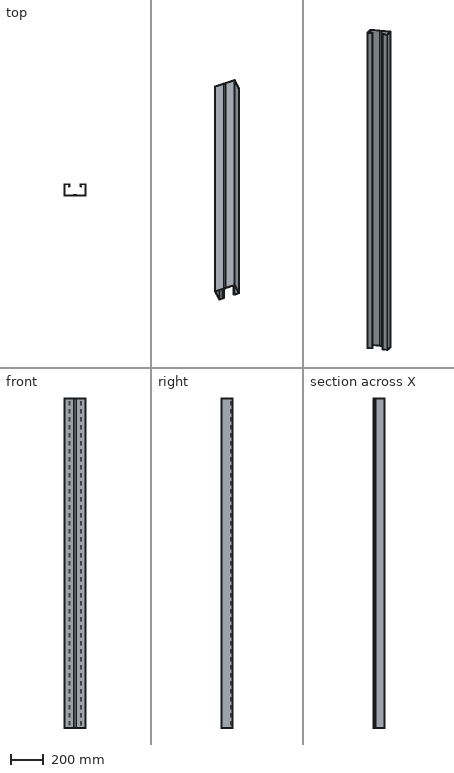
import cadquery as cq

WIDTH = 130.0
DEPTH = 70.0
LENGTH = 2000.0
WALL = 2.5

OPENING = 61.0
LIP_RADIUS = 7.5

RIB_WIDTH = 12.4
RIB_HEIGHT = 2.0
RIB_CORNER_RADIUS = 1.0

BACK = -DEPTH / 2
FRONT = DEPTH / 2
SIDE = WIDTH / 2
WEB_TOP = BACK + WALL


def half_channel():
    """The +X half of the channel: web, side wall, flange and the lip rolled inward by half a turn."""
    lip_edge = OPENING / 2
    lip_center_x = lip_edge + LIP_RADIUS
    lip_center_y = FRONT - LIP_RADIUS
    lip_end = FRONT - 2 * LIP_RADIUS
    section = (
        cq.Workplane("XY")
        .moveTo(0, BACK)
        .lineTo(SIDE, BACK)
        .lineTo(SIDE, FRONT)
        .lineTo(lip_center_x, FRONT)
        .threePointArc((lip_edge, lip_center_y), (lip_center_x, lip_end))
        .lineTo(lip_center_x, lip_end + WALL)
        .threePointArc((lip_edge + WALL, lip_center_y), (lip_center_x, FRONT - WALL))
        .lineTo(SIDE - WALL, FRONT - WALL)
        .lineTo(SIDE - WALL, WEB_TOP)
        .lineTo(0, WEB_TOP)
        .close()
    )
    return section.extrude(LENGTH)


def web_rib():
    """Full-length rib on the web, with its two upper edges rounded."""
    rib = (
        cq.Workplane("XY")
        .box(RIB_WIDTH, WALL + RIB_HEIGHT, LENGTH, centered=(True, False, False))
        .translate((0, BACK, 0))
    )
    return rib.faces(">Y").edges("|Z").fillet(RIB_CORNER_RADIUS)


right_half = half_channel()
left_half = right_half.mirror("YZ")
result = right_half.union(left_half).union(web_rib()).clean()